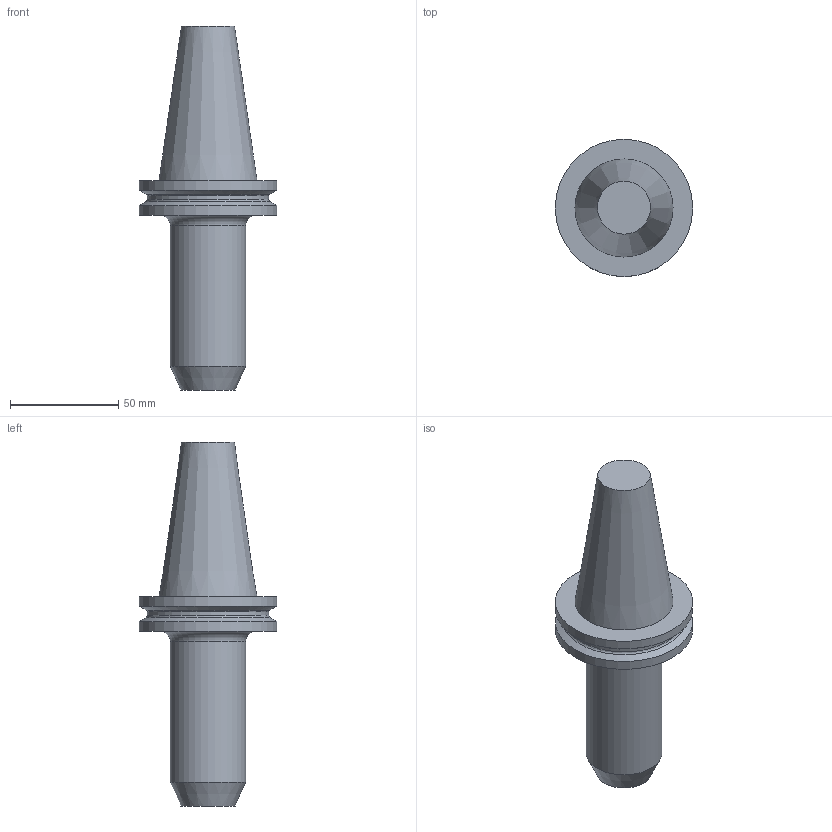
import cadquery as cq
import math

TAPER_RATIO = 7 / 24
GAUGE_DIAMETER = 44.45
TAPER_HEIGHT = 68.4
FLANGE_GAP = 3.2

FLANGE_DIAMETER = 63.55
FLANGE_THICKNESS = 15.9
GROOVE_DIAMETER = 56.25
GROOVE_UPPER_FILLET = 1.0
GROOVE_LOWER_FILLET = 1.3
GROOVE_WALL_ANGLE = math.radians(30)
GROOVE_CENTRE_Z = -11.1
GAUGE_PIN_DIAMETER = 7.0
DIAMETER_OVER_PINS = 72.2

PROJECTION = 100.0
SHANK_DIAMETER = 35.0
SHANK_FILLET = 5.0
NOSE_HEIGHT = 11.0
NOSE_DIAMETER = 25.0

flange_top = -FLANGE_GAP
flange_bottom = flange_top - FLANGE_THICKNESS
shank_bottom = -PROJECTION + NOSE_HEIGHT


def taper_radius(z):
    return (GAUGE_DIAMETER - TAPER_RATIO * z) / 2


def groove_half_width(radius):
    """Half the distance between the groove walls at the given radius from the axis."""
    pin_radius = GAUGE_PIN_DIAMETER / 2
    pin_centre = DIAMETER_OVER_PINS / 2 - pin_radius
    half_width_at_pin = pin_radius / math.cos(GROOVE_WALL_ANGLE)
    return half_width_at_pin - (pin_centre - radius) * math.tan(GROOVE_WALL_ANGLE)


def make_body():
    """Revolve the taper, a plain flange, the shank and the nose."""
    profile = (
        cq.Workplane("XZ")
        .moveTo(0, TAPER_HEIGHT)
        .lineTo(taper_radius(TAPER_HEIGHT), TAPER_HEIGHT)
        .lineTo(taper_radius(flange_top), flange_top)
        .lineTo(FLANGE_DIAMETER / 2, flange_top)
        .lineTo(FLANGE_DIAMETER / 2, flange_bottom)
        .lineTo(SHANK_DIAMETER / 2 + SHANK_FILLET, flange_bottom)
        .radiusArc((SHANK_DIAMETER / 2, flange_bottom - SHANK_FILLET), -SHANK_FILLET)
        .lineTo(SHANK_DIAMETER / 2, shank_bottom)
        .lineTo(NOSE_DIAMETER / 2, -PROJECTION)
        .lineTo(0, -PROJECTION)
        .close()
    )
    return profile.revolve(360, (0, 0, 0), (0, 1, 0))


def make_groove():
    """V-shaped ring with a cylindrical floor and rounded floor corners."""
    rim_radius = FLANGE_DIAMETER / 2
    floor_radius = GROOVE_DIAMETER / 2
    rim_half_width = groove_half_width(rim_radius)
    floor_half_width = groove_half_width(floor_radius)
    profile = (
        cq.Workplane("XZ")
        .moveTo(rim_radius, GROOVE_CENTRE_Z + rim_half_width)
        .lineTo(floor_radius, GROOVE_CENTRE_Z + floor_half_width)
        .lineTo(floor_radius, GROOVE_CENTRE_Z - floor_half_width)
        .lineTo(rim_radius, GROOVE_CENTRE_Z - rim_half_width)
        .close()
    )
    ring = profile.revolve(360, (0, 0, 0), (0, 1, 0))
    floor_corners = cq.selectors.RadiusNthSelector(0)
    ring = ring.edges("%CIRCLE").edges(floor_corners).edges(">Z").fillet(GROOVE_UPPER_FILLET)
    return ring.edges("%CIRCLE").edges(floor_corners).edges("<Z").fillet(GROOVE_LOWER_FILLET)


result = make_body().cut(make_groove())